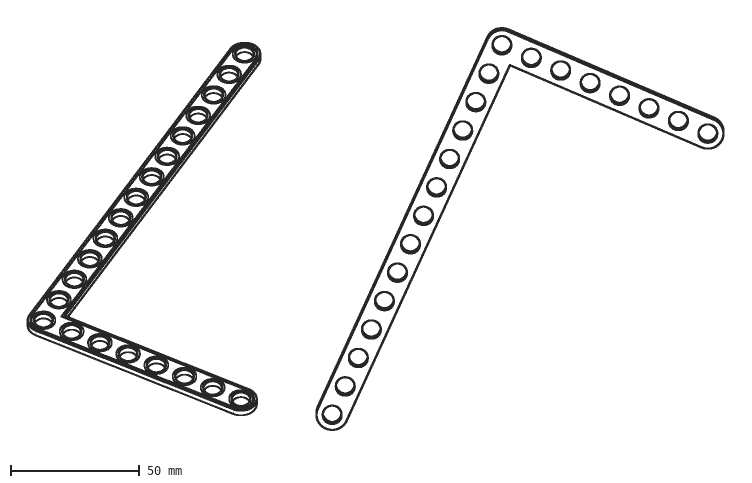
import cadquery as cq

long_leg_holes = 14
short_leg_holes = 8
overall_length = 175.0
thickness = 3.2
hole_diameter = 7.0
ring_diameter = 9.3
rim_width = 1.1
pocket_depth = 0.2
edge_chamfer = 0.3

pitch = overall_length / long_leg_holes
strip_width = pitch
long_span = (long_leg_holes - 1) * pitch
short_span = (short_leg_holes - 1) * pitch

long_leg_centres = [(0, i * pitch) for i in range(long_leg_holes)]
short_leg_centres = [(i * pitch, 0) for i in range(1, short_leg_holes)]
hole_centres = long_leg_centres + short_leg_centres


def angle_slab(width, bottom, height):
    """L-shaped slab whose two legs are round-ended strips along the hole lines."""
    base = cq.Workplane("XY").workplane(offset=bottom)
    long_leg = base.center(0, long_span / 2).slot2D(long_span + width, width, 90).extrude(height)
    short_leg = base.center(short_span / 2, 0).slot2D(short_span + width, width).extrude(height)
    return long_leg.union(short_leg)


def discs(diameter, bottom, height):
    """One cylinder on every hole centre."""
    base = cq.Workplane("XY").workplane(offset=bottom)
    return base.pushPoints(hole_centres).circle(diameter / 2).extrude(height)


strip = angle_slab(strip_width, 0, thickness).cut(discs(hole_diameter, 0, thickness))
strip = strip.faces("<Z or >Z").edges().chamfer(edge_chamfer)

floor_height = thickness - pocket_depth
pocket = angle_slab(strip_width - 2 * rim_width, floor_height, pocket_depth)
pocket = pocket.cut(discs(ring_diameter, floor_height, pocket_depth))

result = strip.cut(pocket)